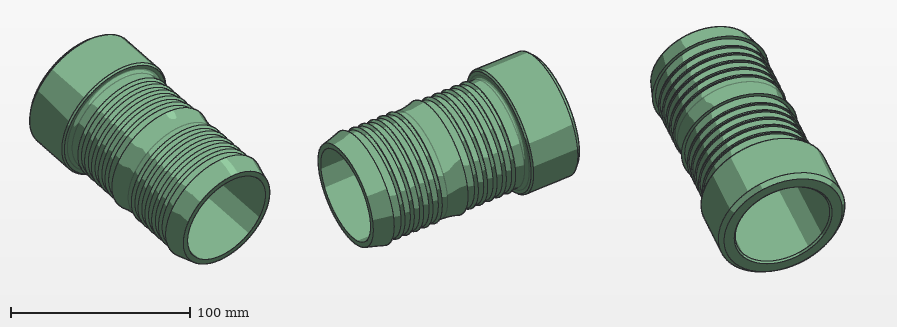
import cadquery as cq

length = 130.0
neck_radius = 65.0 / 2
bore_radius = 56.0 / 2
bore_chamfer = 1.0

collar_radius = 75.1 / 2
collar_length = 31.8
collar_front_chamfer = 2.5
collar_back_chamfer = 1.0
neck_fillet = 2.0

rib_count = 5
rib_pitch = 6.0
rib_length = 2.0
rib_height = 1.0
rib_group_starts = (40.0, 87.1)

barb_radius = 34.5
middle_barb_start = 71.1
middle_barb_length = 12.0
end_barb_length = 11.6
tip_radius = 31.2


def revolve_about_x(profile):
    return profile.close().revolve(360, (0, 0, 0), (1, 0, 0))


def collar_and_neck():
    profile = (
        cq.Workplane("XY")
        .lineTo(0, collar_radius - collar_front_chamfer)
        .lineTo(collar_front_chamfer, collar_radius)
        .lineTo(collar_length - collar_back_chamfer, collar_radius)
        .lineTo(collar_length, collar_radius - collar_back_chamfer)
        .lineTo(collar_length, neck_radius + neck_fillet)
        .radiusArc((collar_length + neck_fillet, neck_radius), -neck_fillet)
        .lineTo(length - end_barb_length, neck_radius)
        .lineTo(length - end_barb_length, 0)
    )
    return revolve_about_x(profile)


def rib(start):
    profile = (
        cq.Workplane("XY")
        .moveTo(start, 0)
        .lineTo(start, neck_radius + rib_height)
        .lineTo(start + rib_length, neck_radius)
        .lineTo(start + rib_length, 0)
    )
    return revolve_about_x(profile)


def middle_barb():
    rise = barb_radius - neck_radius
    flank_radius = (middle_barb_length**2 + rise**2) / (2 * rise)
    end = middle_barb_start + middle_barb_length
    profile = (
        cq.Workplane("XY")
        .moveTo(middle_barb_start, 0)
        .lineTo(middle_barb_start, barb_radius)
        .radiusArc((end, neck_radius), -flank_radius)
        .lineTo(end, 0)
    )
    return revolve_about_x(profile)


def end_barb():
    start = length - end_barb_length
    profile = (
        cq.Workplane("XY")
        .moveTo(start, 0)
        .lineTo(start, barb_radius)
        .lineTo(length, tip_radius)
        .lineTo(length, 0)
    )
    return revolve_about_x(profile)


def bore():
    profile = (
        cq.Workplane("XY")
        .lineTo(0, bore_radius + bore_chamfer)
        .lineTo(bore_chamfer, bore_radius)
        .lineTo(length, bore_radius)
        .lineTo(length, 0)
    )
    return revolve_about_x(profile)


body = collar_and_neck().union(middle_barb()).union(end_barb())
for group_start in rib_group_starts:
    for index in range(rib_count):
        body = body.union(rib(group_start + index * rib_pitch))

result = body.cut(bore())